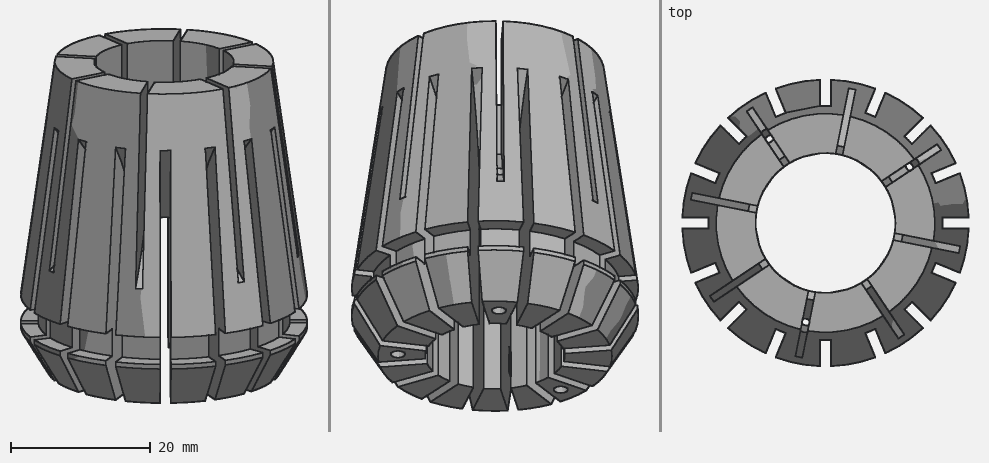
import cadquery as cq
import math

height = 46.0
top_radius = 15.65
collar_radius = 20.5
collar_height = 11.05
groove_radius = 18.05
groove_floor = 7.0
lip_height = 6.3
base_radius = 16.75

bore_radius = 10.0

cutter_radius = 31.95
wide_slot_count = 16
wide_slot_width = 1.5
wide_slot_end = 37.9
wide_slot_reach = 8.65
narrow_slot_count = 8
narrow_slot_width = 1.0
narrow_slot_end = 17.95
narrow_slot_reach = 6.15
bevel_radius = 11.2
bevel_angle = 20.0
narrow_slot_angle = 33.75

drilling_diameter = 2.02
drilling_base_radius = 13.9
drilling_tilt = 2.8
drilling_length = 23.45
drilled_slots = (0, 2, 5)


def narrow_slot_direction(index):
    """Angle of a narrow slot around Z, in degrees."""
    return narrow_slot_angle + index * 360 / narrow_slot_count


def cone_radius(z):
    """Radius of the main outer cone at height z."""
    share = (z - collar_height) / (height - collar_height)
    return collar_radius + share * (top_radius - collar_radius)


def make_body():
    """Revolved blank: stepped outside, plain bore inside."""
    profile = [
        (bore_radius, 0),
        (base_radius, 0),
        (collar_radius, lip_height),
        (collar_radius, groove_floor),
        (groove_radius, groove_floor),
        (groove_radius, collar_height),
        (collar_radius, collar_height),
        (top_radius, height),
        (bore_radius, height),
    ]
    return cq.Workplane("XZ").polyline(profile).close().revolve(360, (0, 0), (0, 1))


def cutter_center(open_height, end_height, reach):
    """Centre (x, z) of the cutter whose arc runs out at end_height on the main cone."""
    center_x = reach + cutter_radius
    arc_run = center_x - cone_radius(end_height)
    arc_rise = math.sqrt(cutter_radius**2 - arc_run**2)
    return center_x, end_height - math.copysign(arc_rise, end_height - open_height)


def make_slot(open_height, end_height, reach, width):
    """Saw cut along +X: enters at open_height and runs out in an arc at end_height."""
    center_x, center_z = cutter_center(open_height, end_height, reach)
    disc = (
        cq.Workplane("XZ")
        .center(center_x, center_z)
        .circle(cutter_radius)
        .extrude(width / 2, both=True)
    )
    entry = (
        cq.Workplane("XY")
        .box(cutter_radius, width, abs(center_z - open_height))
        .translate((reach + cutter_radius / 2, 0, (center_z + open_height) / 2))
    )
    return disc.union(entry)


def make_bevel():
    """Wedge along +X that bevels the floor of a narrow slot down towards the bore."""
    center_x, center_z = cutter_center(height, narrow_slot_end, narrow_slot_reach)
    crest = center_z - math.sqrt(cutter_radius**2 - (center_x - bevel_radius) ** 2)
    drop = bevel_radius * math.tan(math.radians(bevel_angle))
    profile = [(bevel_radius, crest), (bevel_radius, height), (0, height), (0, crest - drop)]
    return cq.Workplane("XZ").polyline(profile).close().extrude(narrow_slot_width / 2, both=True)


def make_drilling():
    """Blind round hole in the XZ plane, leaning outwards as it rises from the base."""
    tilt = math.radians(drilling_tilt)
    axis = cq.Vector(math.sin(tilt), 0, math.cos(tilt))
    overshoot = drilling_diameter
    start = cq.Vector(drilling_base_radius, 0, 0) - axis * overshoot
    return cq.Workplane(
        cq.Solid.makeCylinder(drilling_diameter / 2, drilling_length + overshoot, start, axis)
    )


def turned(tool, angle):
    """Tool turned about the collet axis."""
    return tool.rotate((0, 0, 0), (0, 0, 1), angle)


result = make_body()

wide_slot = make_slot(0, wide_slot_end, wide_slot_reach, wide_slot_width)
for i in range(wide_slot_count):
    result = result.cut(turned(wide_slot, i * 360 / wide_slot_count))

narrow_slot = make_slot(height, narrow_slot_end, narrow_slot_reach, narrow_slot_width)
narrow_slot = narrow_slot.union(make_bevel())
for i in range(narrow_slot_count):
    result = result.cut(turned(narrow_slot, narrow_slot_direction(i)))

drilling = make_drilling()
for i in drilled_slots:
    result = result.cut(turned(drilling, narrow_slot_direction(i)))